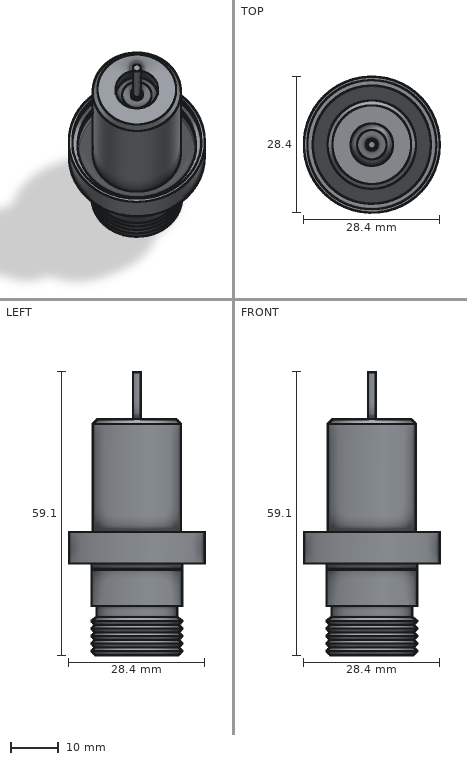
import cadquery as cq

TOTAL_LENGTH = 59.1

BARREL_RADIUS = 9.2
BARREL_TOP = 49.3
BARREL_CHAMFER = 1.0

FLANGE_DIAMETER = 28.45
FLANGE_RADIUS = FLANGE_DIAMETER / 2
FLANGE_BOTTOM = 19.15
FLANGE_TOP = 25.8
RIM_RADIUS = 13.5
RIM_DEPTH = 1.5
CUP_RADIUS = 12.35
LIP_DEPTH = 2.9
CUP_FLOOR_RADIUS = 12.1
UNDERCUT_FILLET = 0.55
CUP_DEPTH = 5.0

BODY_RADIUS = 9.5
BODY_BOTTOM = 10.3
GROOVE_RADIUS = 9.3
GROOVE_BOTTOM = 17.8
GROOVE_WIDTH = 0.35
NECK_RADIUS = 8.45
NECK_BOTTOM = 8.0

THREAD_COUNT = 5
FIRST_CREST = 0.9
LAST_CREST = 7.15
THREAD_PITCH = (LAST_CREST - FIRST_CREST) / (THREAD_COUNT - 1)
THREAD_ROOT_RADIUS = 8.75
THREAD_END_RADIUS = 8.65

BORE_RADIUS = 4.45
BORE_DEPTH = 3.1
SEAT_RADIUS = 3.1
SEAT_HEIGHT = 0.6

PIN_RADIUS = 0.8
SHANK_RADIUS = 1.25
SHANK_RECESS = 1.85
SHANK_TOP = BARREL_TOP - SHANK_RECESS


def revolve_profile(points):
    """Revolve a closed (radius, height) outline about the Z axis."""
    return cq.Workplane("XZ").polyline(points).close().revolve(360, (0, 0), (0, 1))


def cylinder(radius, bottom, top):
    return cq.Workplane("XY").workplane(offset=bottom).circle(radius).extrude(top - bottom)


def make_thread():
    points = [(0, 0), (THREAD_END_RADIUS, 0)]
    for i in range(THREAD_COUNT):
        crest = FIRST_CREST + i * THREAD_PITCH
        points.append((BODY_RADIUS, crest))
        if i < THREAD_COUNT - 1:
            points.append((THREAD_ROOT_RADIUS, crest + THREAD_PITCH / 2))
    points += [(NECK_RADIUS, NECK_BOTTOM), (0, NECK_BOTTOM)]
    return revolve_profile(points)


def make_lower_body():
    neck = cylinder(NECK_RADIUS, NECK_BOTTOM, BODY_BOTTOM)
    body = cylinder(BODY_RADIUS, BODY_BOTTOM, FLANGE_BOTTOM)
    groove_top = GROOVE_BOTTOM + GROOVE_WIDTH
    groove = cylinder(BODY_RADIUS, GROOVE_BOTTOM, groove_top).cut(
        cylinder(GROOVE_RADIUS, GROOVE_BOTTOM, groove_top)
    )
    return neck.union(body.cut(groove))


def make_flange():
    flange = cylinder(FLANGE_RADIUS, FLANGE_BOTTOM, FLANGE_TOP)
    rim_step = cylinder(RIM_RADIUS, FLANGE_TOP - RIM_DEPTH, FLANGE_TOP)
    cup = cylinder(CUP_RADIUS, FLANGE_TOP - LIP_DEPTH, FLANGE_TOP)
    undercut_radius = CUP_FLOOR_RADIUS + UNDERCUT_FILLET
    undercut = (
        cylinder(undercut_radius, FLANGE_TOP - CUP_DEPTH, FLANGE_TOP - LIP_DEPTH)
        .faces("<Z")
        .edges()
        .fillet(UNDERCUT_FILLET)
    )
    return flange.cut(rim_step).cut(cup).cut(undercut)


def make_barrel():
    barrel = cylinder(BARREL_RADIUS, FLANGE_BOTTOM, BARREL_TOP)
    return barrel.faces(">Z").edges().chamfer(BARREL_CHAMFER)


def make_bore():
    floor = BARREL_TOP - BORE_DEPTH
    seat_top = floor + SEAT_HEIGHT
    return revolve_profile(
        [
            (0, seat_top),
            (SEAT_RADIUS, seat_top),
            (BORE_RADIUS, floor),
            (BORE_RADIUS, BARREL_TOP),
            (0, BARREL_TOP),
        ]
    )


def make_housing():
    housing = make_thread().union(make_lower_body()).union(make_flange()).union(make_barrel())
    pin_hole = cylinder(SHANK_RADIUS, 0, BARREL_TOP)
    return housing.cut(make_bore()).cut(pin_hole)


def make_pin():
    shank = cylinder(SHANK_RADIUS, 0, SHANK_TOP)
    return shank.union(cylinder(PIN_RADIUS, SHANK_TOP, TOTAL_LENGTH))


housing = make_housing()
pin = make_pin()
result = cq.Compound.makeCompound([housing.val(), pin.val()])